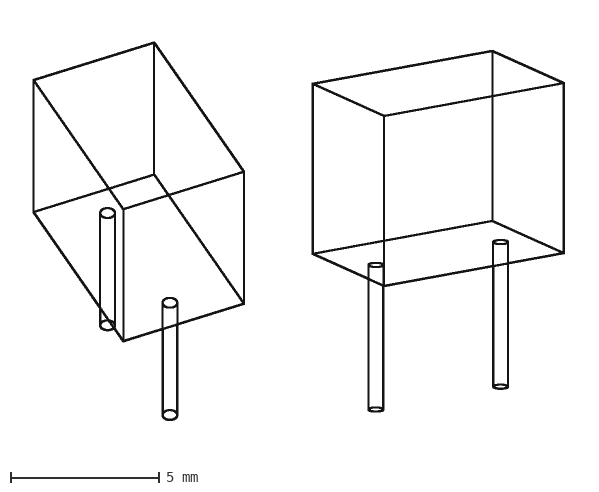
import cadquery as cq

case_length = 7.2
case_width = 4.5
case_height = 6.0

lead_diameter = 0.5
lead_pitch = 5.0
overall_height = 11.1
lead_length = overall_height - case_height


def make_case():
    """Plain rectangular block with its underside at Z = 0."""
    return cq.Workplane("XY").box(case_length, case_width, case_height, centered=(True, True, False))


def make_lead(x):
    """Straight round lead that hangs from the underside of the case at the given X."""
    return cq.Workplane("XY").center(x, 0).circle(lead_diameter / 2).extrude(-lead_length)


case = make_case()
leads = [make_lead(side * lead_pitch / 2) for side in (-1, 1)]

result = cq.Compound.makeCompound([case.val(), *[lead.val() for lead in leads]])